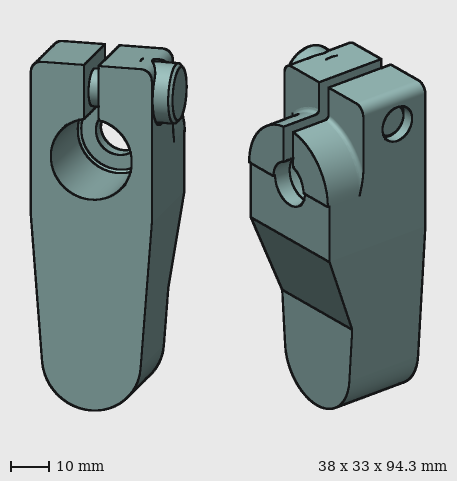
import cadquery as cq
import math

height = 94.3
half_width = 16.5
tip_radius = 13.5
corner_radius = 2.9

clamp_depth = 21.0
block_depth = 32.4
boss_depth = 33.0
arm_depth = 23.3

shoulder_z = 52.15
slope_end_z = 28.4
bore_z = 68.65

boss_fillet = 1.2

bore_radius = 11.0
bore_depth = 27.5
bore_chamfer = 0.8
through_diameter = 12.5
slot_width = 4.0

screw_y = 9.5
screw_z = 85.6
shank_radius = 5.0
shank_chamfer = 0.7
shank_recess = 2.8
head_radius = 8.0
head_chamfer = 0.9
head_end_x = 21.5
seat_x = 11.2
counterbore_wall = 0.05
counterbore_radius = height - screw_z - counterbore_wall


def cylinder_x(radius, start_x, end_x):
    """Cylinder on the screw axis."""
    plane = cq.Plane(origin=(start_x, screw_y, screw_z), xDir=(0, 1, 0), normal=(1, 0, 0))
    return cq.Workplane(plane).circle(radius).extrude(end_x - start_x)


def cylinder_y(radius, start_y, end_y):
    """Cylinder on the bore axis."""
    plane = cq.Plane(origin=(0, start_y, bore_z), xDir=(1, 0, 0), normal=(0, 1, 0))
    return cq.Workplane(plane).circle(radius).extrude(end_y - start_y)


def arm_outline(depth):
    """Front outline with tapered sides tangent to the round tip."""
    rise = shoulder_z - tip_radius
    taper_angle = math.acos(tip_radius / math.hypot(half_width, rise)) - math.atan2(rise, half_width)
    tangent_x = tip_radius * math.cos(taper_angle)
    tangent_z = tip_radius - tip_radius * math.sin(taper_angle)
    return (
        cq.Workplane("XZ")
        .moveTo(-half_width, height)
        .lineTo(half_width, height)
        .lineTo(half_width, shoulder_z)
        .lineTo(tangent_x, tangent_z)
        .threePointArc((0, 0), (-tangent_x, tangent_z))
        .lineTo(-half_width, shoulder_z)
        .close()
        .extrude(-depth)
        .edges("|Y and >Z")
        .fillet(corner_radius)
    )


def side_profile():
    """Stepped profile that sets the depth of the arm at each level."""
    return (
        cq.Workplane("YZ")
        .polyline([
            (0, 0),
            (arm_depth, 0),
            (arm_depth, slope_end_z),
            (block_depth, shoulder_z),
            (block_depth, bore_z),
            (clamp_depth, bore_z),
            (clamp_depth, height),
            (0, height),
        ])
        .close()
        .extrude(half_width, both=True)
    )


def rear_boss():
    """Upper half disk with a concave fillet at its root, trimmed to the block width."""
    root_radius = half_width + boss_fillet
    fillet_end_y = clamp_depth + boss_fillet
    bend = boss_fillet * (1 - math.sqrt(0.5))
    disk = (
        cq.Workplane("XY")
        .moveTo(0, 0)
        .lineTo(root_radius, 0)
        .lineTo(root_radius, clamp_depth)
        .threePointArc((half_width + bend, clamp_depth + bend), (half_width, fillet_end_y))
        .lineTo(half_width, boss_depth)
        .lineTo(0, boss_depth)
        .close()
        .revolve(360, (0, 0), (0, 1))
        .translate((0, 0, bore_z))
    )
    upper_half = cq.Workplane("XY").box(
        2 * half_width, boss_depth - clamp_depth, height - bore_z, centered=(True, False, False)
    )
    return disk.intersect(upper_half.translate((0, clamp_depth, bore_z)))


def bore():
    """Wide blind bore with a beveled floor edge and a narrower through hole."""
    wide = cylinder_y(bore_radius, 0, bore_depth).faces(">Y").chamfer(bore_chamfer)
    return wide.union(cylinder_y(through_diameter / 2, 0, boss_depth))


def slot():
    """Clamping slot from the bore up through the top."""
    cutter = cq.Workplane("XY").box(
        slot_width, boss_depth, height - bore_z, centered=(True, False, False)
    )
    return cutter.translate((0, 0, bore_z))


def screw():
    """Screw with its head on the counterbore seat and its tip short of the left side."""
    shank = cylinder_x(shank_radius, shank_recess - half_width, seat_x)
    shank = shank.faces("<X").chamfer(shank_chamfer)
    head = cylinder_x(head_radius, seat_x, head_end_x).faces(">X").chamfer(head_chamfer)
    return shank.union(head)


body = arm_outline(block_depth).intersect(side_profile()).union(rear_boss())
body = body.cut(bore()).cut(slot())
body = body.cut(cylinder_x(shank_radius, -half_width, seat_x))
body = body.cut(cylinder_x(counterbore_radius, seat_x, half_width))

result = body.union(screw())